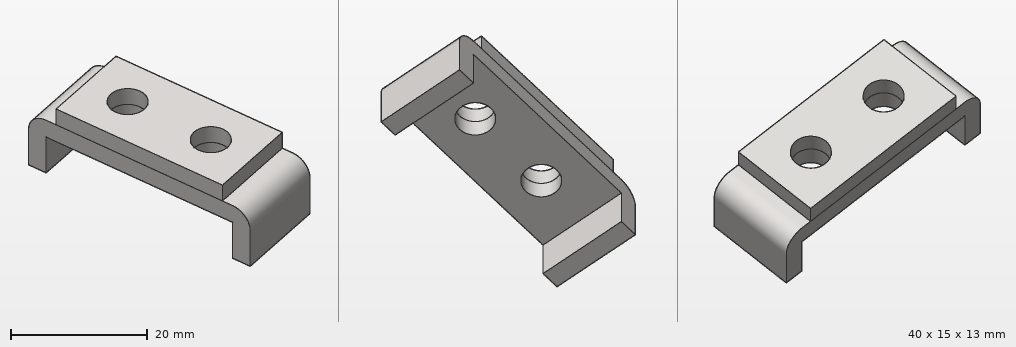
import cadquery as cq

length = 40.0
width = 15.0

bracket_height = 10.0
wall = 3.2
corner_radius = wall

plate_length = 30.0
plate_thickness = 3.0

hole_diameter = 6.0
hole_spacing = plate_length / 2


def drill_holes(body):
    """Cut the pair of vertical holes right through a body."""
    through_height = bracket_height + plate_thickness
    holes = (
        cq.Workplane("XY")
        .rarray(hole_spacing, 0.4, 2, 1)
        .circle(hole_diameter / 2)
        .extrude(through_height)
    )
    return body.cut(holes).solids()


def make_bracket():
    """Build the channel with its legs pointing down."""
    outer = (
        cq.Workplane("XY")
        .box(length, width, bracket_height, centered=(True, True, False))
        .edges("|Y and >Z")
        .fillet(corner_radius)
    )
    channel = cq.Workplane("XY").box(
        length - 2 * wall, width, bracket_height - wall, centered=(True, True, False)
    )
    return drill_holes(outer.cut(channel))


def make_plate():
    """Build the flat plate resting on top of the bracket."""
    plate = (
        cq.Workplane("XY")
        .workplane(offset=bracket_height)
        .box(plate_length, width, plate_thickness, centered=(True, True, False))
    )
    return drill_holes(plate)


bracket = make_bracket()
plate = make_plate()

result = cq.Compound.makeCompound([bracket.val(), plate.val()])